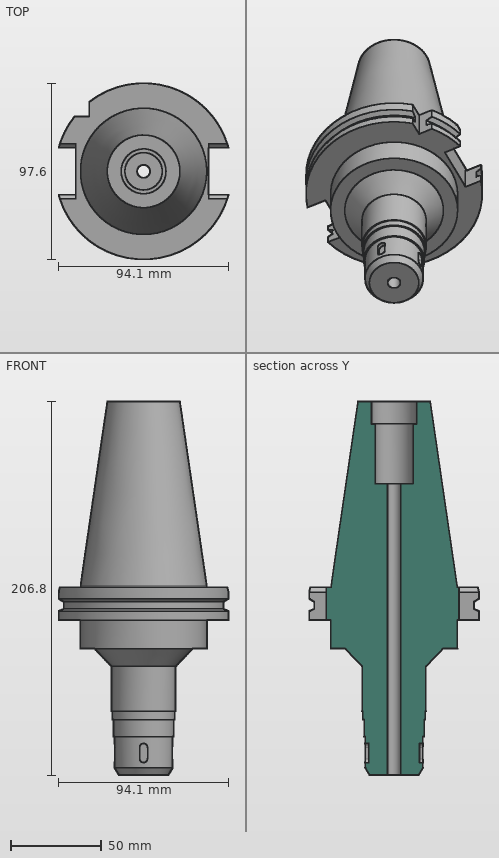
import cadquery as cq

total_height = 206.8
gauge_z = 105.0
gauge_radius = 35.0
taper_rate = 7 / 24
taper_top_radius = gauge_radius - (total_height - gauge_z) * taper_rate / 2

flange_radius = 48.8
flange_bottom_z = 85.8
flange_top_z = 104.0
groove_floor_radius = 46.1
groove_bottom_z = 90.8
groove_floor_bottom_z = 92.0
groove_floor_top_z = 96.0
groove_top_z = 97.5

collar_radius = 35.1
collar_bottom_z = 70.0
cone_top_radius = 27.3
shank_top_z = 60.2
shank_radius = 17.8
ring_top_z = 35.4
ring_radius = 17.4
neck_top_z = 30.8
neck_radius = 16.7
tip_top_z = 21.3
tip_radius = 16.1
tip_chamfer_height = 4.1
tip_chamfer_width = 2.5

drive_slot_width = 25.8
drive_slot_floors = {-1: 37.6, 1: 36.0}
drive_slot_chamfer_width = 2.3
drive_slot_chamfer_height = 2.7

notch_x = -30.2
notch_y = 30.4

entry_bore_radius = 12.5
entry_bore_depth = 12.5
inner_bore_radius = 10.3
inner_bore_depth = 45.5
coolant_radius = 3.5

recess_count = 4
recess_width = 4.3
recess_bottom_z = 7.0
recess_top_z = 17.5
recess_depth = 2


def make_body():
    """Revolve the outer profile, given as (radius, z) points."""
    profile = [
        (0, 0),
        (tip_radius - tip_chamfer_width, 0),
        (tip_radius, tip_chamfer_height),
        (tip_radius, tip_top_z),
        (neck_radius, tip_top_z),
        (neck_radius, neck_top_z),
        (ring_radius, neck_top_z),
        (ring_radius, ring_top_z),
        (shank_radius, ring_top_z),
        (shank_radius, shank_top_z),
        (cone_top_radius, collar_bottom_z),
        (collar_radius, collar_bottom_z),
        (collar_radius, flange_bottom_z),
        (flange_radius, flange_bottom_z),
        (flange_radius, groove_bottom_z),
        (groove_floor_radius, groove_floor_bottom_z),
        (groove_floor_radius, groove_floor_top_z),
        (flange_radius, groove_top_z),
        (flange_radius, flange_top_z),
        (gauge_radius, flange_top_z),
        (gauge_radius, gauge_z),
        (taper_top_radius, total_height),
        (0, total_height),
    ]
    return cq.Workplane("XZ").polyline(profile).close().revolve(360, (0, 0), (0, 1))


def make_drive_slot(side, floor):
    """Slot through the flange height, with its two upper edges chamfered."""
    half_width = drive_slot_width / 2
    half_mouth = half_width + drive_slot_chamfer_width
    chamfer_z = flange_top_z - drive_slot_chamfer_height
    section = [
        (-half_width, flange_bottom_z),
        (half_width, flange_bottom_z),
        (half_width, chamfer_z),
        (half_mouth, flange_top_z),
        (-half_mouth, flange_top_z),
        (-half_width, chamfer_z),
    ]
    return (
        cq.Workplane("YZ", origin=(side * floor, 0, 0))
        .polyline(section)
        .close()
        .extrude(side * flange_radius)
    )


def make_notch():
    """Square corner removed from the flange at -X, +Y."""
    return (
        cq.Workplane("XY", origin=(notch_x, notch_y, flange_bottom_z))
        .box(flange_radius, flange_radius, flange_top_z - flange_bottom_z, centered=False)
        .translate((-flange_radius, 0, 0))
    )


def make_bore(radius, depth):
    """Round bore sunk from the small end of the taper."""
    return cq.Workplane("XY", origin=(0, 0, total_height)).circle(radius).extrude(-depth)


def make_recess(angle):
    """Vertical round-ended recess in the side of the tip."""
    length = recess_top_z - recess_bottom_z
    middle_z = (recess_top_z + recess_bottom_z) / 2
    return (
        cq.Workplane("YZ", origin=(tip_radius - recess_depth, 0, middle_z))
        .slot2D(length, recess_width, 90)
        .extrude(tip_radius)
        .rotate((0, 0, 0), (0, 0, 1), angle)
    )


result = make_body()
for side, floor in drive_slot_floors.items():
    result = result.cut(make_drive_slot(side, floor))
result = result.cut(make_notch())
result = result.cut(make_bore(entry_bore_radius, entry_bore_depth))
result = result.cut(make_bore(inner_bore_radius, inner_bore_depth))
result = result.cut(make_bore(coolant_radius, total_height))
for index in range(recess_count):
    result = result.cut(make_recess(index * 360 / recess_count))